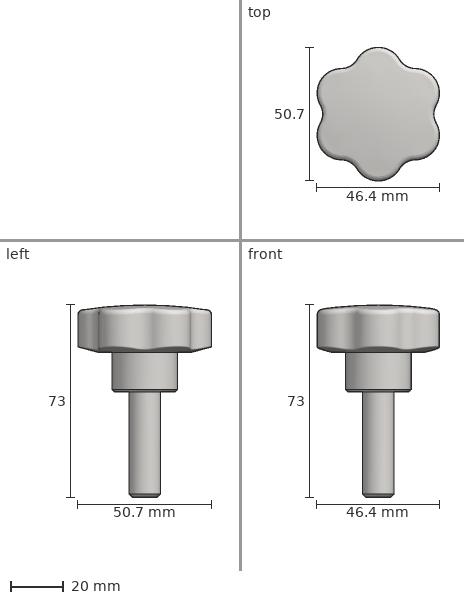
import cadquery as cq
import math

STUD_LENGTH = 40.0
HUB_LENGTH = 15.0
HEAD_HEIGHT = 17.96
HUB_BOTTOM = STUD_LENGTH
HEAD_BOTTOM = HUB_BOTTOM + HUB_LENGTH
HEAD_TOP = HEAD_BOTTOM + HEAD_HEIGHT

STUD_DIAMETER = 12.0
STUD_CHAMFER = 1.3
HUB_DIAMETER = 25.0
HUB_CHAMFER = 1.0

LOBE_COUNT = 6
LOBE_PITCH_RADIUS = 16.0
LOBE_RADIUS = 9.35
VALLEY_RADIUS = 7.0
FIRST_LOBE_ANGLE = 90.0
LOBE_STEP = 360.0 / LOBE_COUNT
TIP_RADIUS = LOBE_PITCH_RADIUS + LOBE_RADIUS

DOME_RADIUS = 155.0
UNDERSIDE_FLAT_DIAMETER = 35.5
UNDERSIDE_ANGLE = 15.0
RIM_MARGIN = 1.0
TOP_FILLET = 2.0
BOTTOM_FILLET = 0.5


def polar(radius, angle):
    """Point at the given radius and angle in degrees."""
    a = math.radians(angle)
    return (radius * math.cos(a), radius * math.sin(a))


def lobed_prism():
    """Prism whose convex lobes join concave valleys tangentially."""
    half_step = math.radians(LOBE_STEP / 2)
    lobe_along = LOBE_PITCH_RADIUS * math.cos(half_step)
    lobe_across = LOBE_PITCH_RADIUS * math.sin(half_step)
    centre_distance = LOBE_RADIUS + VALLEY_RADIUS
    valley_pitch_radius = lobe_along + math.sqrt(centre_distance**2 - lobe_across**2)
    valley_floor = valley_pitch_radius - VALLEY_RADIUS

    share = VALLEY_RADIUS / centre_distance
    tangent_along = valley_pitch_radius + share * (lobe_along - valley_pitch_radius)
    tangent_across = share * lobe_across
    tangent_radius = math.hypot(tangent_along, tangent_across)
    tangent_angle = math.degrees(math.atan2(tangent_across, tangent_along))

    first_valley = FIRST_LOBE_ANGLE - LOBE_STEP / 2
    outline = cq.Workplane("XY", origin=(0, 0, HEAD_BOTTOM))
    outline = outline.moveTo(*polar(tangent_radius, first_valley + tangent_angle))
    for i in range(LOBE_COUNT):
        lobe = FIRST_LOBE_ANGLE + i * LOBE_STEP
        valley = lobe + LOBE_STEP / 2
        lobe_end = polar(tangent_radius, valley - tangent_angle)
        valley_end = polar(tangent_radius, valley + tangent_angle)
        outline = outline.threePointArc(polar(TIP_RADIUS, lobe), lobe_end)
        outline = outline.threePointArc(polar(valley_floor, valley), valley_end)
    return outline.close().extrude(HEAD_HEIGHT)


def head_envelope():
    """Revolved body bounded by the dome above and the cone below."""
    flat_radius = UNDERSIDE_FLAT_DIAMETER / 2
    rim_radius = TIP_RADIUS + RIM_MARGIN
    cone_rise = (rim_radius - flat_radius) * math.tan(math.radians(UNDERSIDE_ANGLE))

    profile = (
        cq.Workplane("XZ")
        .moveTo(0, HEAD_BOTTOM)
        .lineTo(flat_radius, HEAD_BOTTOM)
        .lineTo(rim_radius, HEAD_BOTTOM + cone_rise)
        .lineTo(rim_radius, HEAD_TOP)
        .lineTo(0, HEAD_TOP)
        .close()
    )
    bounding_body = profile.revolve(360, (0, 0, 0), (0, 1, 0))
    dome = cq.Workplane("XY").sphere(DOME_RADIUS).translate((0, 0, HEAD_TOP - DOME_RADIUS))
    return bounding_body.intersect(dome)


def make_head():
    """Lobed head with rounded top and bottom edges."""
    head = lobed_prism().intersect(head_envelope())
    head = head.faces("%SPHERE").edges().fillet(TOP_FILLET)
    cone_edges = head.faces("%CONE").edges("not %CIRCLE")
    return cone_edges.fillet(BOTTOM_FILLET)


def chamfered_cylinder(diameter, bottom, length, chamfer):
    """Upright cylinder with a chamfer around its lower edge."""
    base = cq.Workplane("XY", origin=(0, 0, bottom))
    return base.circle(diameter / 2).extrude(length).faces("<Z").chamfer(chamfer)


hub = chamfered_cylinder(HUB_DIAMETER, HUB_BOTTOM, HUB_LENGTH, HUB_CHAMFER)
stud = chamfered_cylinder(STUD_DIAMETER, 0, STUD_LENGTH, STUD_CHAMFER)
result = make_head().union(hub).union(stud)